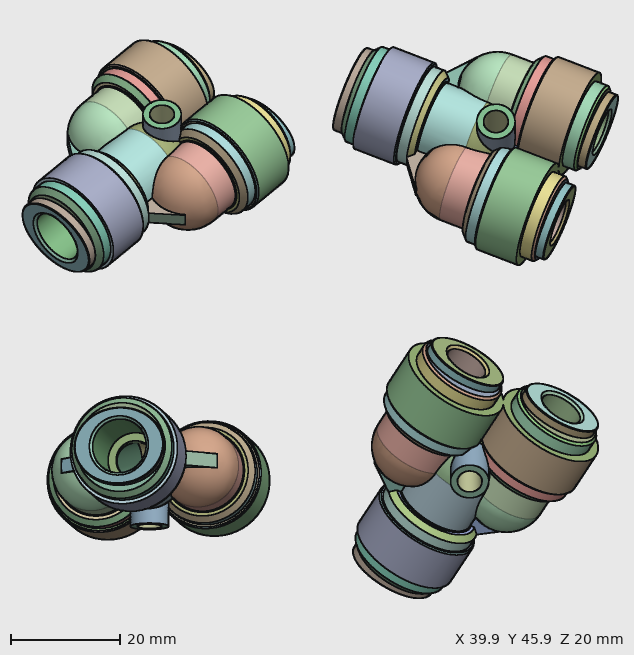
import cadquery as cq
import math

length = 45.9
branch_offset = 9.95
front_y = -length / 2
back_y = length / 2

cuff_d = 20.0
collar_d = 18.7
collar_end_d = 16.5
tube_d = 14.8
cuff_chamfer = 0.28
collar_chamfer = (collar_d - collar_end_d) / 2
cuff_length = 8.4
inner_collar_length = 3.08

inlet_lip_length = 1.75
inlet_collar_length = 3.05
inlet_lip_size = (16.65, 14.25)
inlet_bore_d = 10.0
inlet_bore_depth = 15.15

outlet_lip_length = 1.65
outlet_collar_length = 2.75
outlet_collar_d = 16.65
outlet_collar_chamfer = 0.45
outlet_lip_size = (15.15, 12.03)
outlet_bore_d = 8.0
outlet_bore_depth = 13.75

lip_chamfer = 0.15
mouth_chamfer = 0.5
dome_y = 2.1
channel_d = 7.0
channel_split_y = -5.5
boss_d = 7.0
boss_hole_d = 4.5
boss_y = 6.0
rib_thickness = 2.6
rib_outer_x = 14.6
rib_outer_y = -3.7
rib_back_y = 10.25
root_size = 0.2


def cylinder(diameter, start, end):
    """Round bar between two points."""
    axis = cq.Vector(*end) - cq.Vector(*start)
    return cq.Workplane(cq.Solid.makeCylinder(diameter / 2, axis.Length, cq.Vector(*start), axis))


def sphere(diameter, x, y):
    return cq.Workplane("XY").sphere(diameter / 2).translate((x, y, 0))


def ring(diameter, x, y_low, y_high, low_chamfer=0, high_chamfer=0):
    """Ring along Y with optional chamfers on its two end edges."""
    body = cylinder(diameter, (x, y_low, 0), (x, y_high, 0))
    if low_chamfer:
        body = body.faces("<Y").chamfer(low_chamfer)
    if high_chamfer:
        body = body.faces(">Y").chamfer(high_chamfer)
    return body


def lip(size, x, y_low, y_high, outer_face):
    """Oval release collar with a lightly broken outer edge."""
    oval = cq.Workplane("XZ", origin=(x, y_high, 0)).ellipse(size[0] / 2, size[1] / 2)
    return oval.extrude(y_high - y_low).faces(outer_face).chamfer(lip_chamfer)


def tube(x, y_end):
    """Tube with a hemispherical inner end."""
    return cylinder(tube_d, (x, dome_y, 0), (x, y_end, 0)).union(sphere(tube_d, x, dome_y))


def tube_root(x, collar_y, outward):
    """Conical transition from a collar down to its tube; outward is +1 or -1 along Y."""
    cone = cq.Solid.makeCone(
        tube_d / 2 + root_size, tube_d / 2, root_size,
        cq.Vector(x, collar_y, 0), cq.Vector(0, outward, 0),
    )
    return cq.Workplane(cone)


def inlet():
    collar_y = front_y + inlet_lip_length
    cuff_y = collar_y + inlet_collar_length
    cuff_end_y = cuff_y + cuff_length
    tube_y = cuff_end_y + inner_collar_length
    body = tube(0, cuff_y).union(tube_root(0, tube_y, 1))
    body = body.union(ring(collar_d, 0, collar_y, tube_y, collar_chamfer, collar_chamfer))
    body = body.union(ring(cuff_d, 0, cuff_y, cuff_end_y, high_chamfer=cuff_chamfer))
    return body.union(lip(inlet_lip_size, 0, front_y, collar_y, "<Y"))


def outlet(x):
    collar_y = back_y - outlet_lip_length
    cuff_y = collar_y - outlet_collar_length
    cuff_end_y = cuff_y - cuff_length
    tube_y = cuff_end_y - inner_collar_length
    body = tube(x, cuff_y).union(tube_root(x, tube_y, -1))
    body = body.union(ring(collar_d, x, tube_y, cuff_y, collar_chamfer))
    body = body.union(ring(cuff_d, x, cuff_end_y, cuff_y, cuff_chamfer))
    body = body.union(ring(outlet_collar_d, x, cuff_y, collar_y, high_chamfer=outlet_collar_chamfer))
    return body.union(lip(outlet_lip_size, x, collar_y, back_y, ">Y"))


def rib():
    """Flat web joining the inlet collar to the outlet tubes and the tubes to each other."""
    collar_edge_x = collar_d / 2
    collar_edge_y = (
        front_y + inlet_lip_length + inlet_collar_length + cuff_length + inner_collar_length - collar_chamfer
    )
    outline = [
        (-collar_edge_x, collar_edge_y),
        (collar_edge_x, collar_edge_y),
        (rib_outer_x, rib_outer_y),
        (branch_offset, dome_y),
        (branch_offset, rib_back_y),
        (-branch_offset, rib_back_y),
        (-branch_offset, dome_y),
        (-rib_outer_x, rib_outer_y),
    ]
    return cq.Workplane("XY").polyline(outline).close().extrude(rib_thickness / 2, both=True)


def socket_bore(diameter, x, mouth_y, depth, inward):
    """Tube socket with a conical mouth; inward is +1 or -1 along Y."""
    bore = cylinder(diameter, (x, mouth_y, 0), (x, mouth_y + inward * depth, 0))
    mouth = cq.Solid.makeCone(
        diameter / 2 + mouth_chamfer, diameter / 2, mouth_chamfer,
        cq.Vector(x, mouth_y, 0), cq.Vector(0, inward, 0),
    )
    return bore.union(cq.Workplane(mouth))


def channels():
    """Sockets and the forked flow passage, with slanted legs at 45 degrees."""
    slant_angle = math.radians(45)
    bend_y = channel_split_y + branch_offset / math.tan(slant_angle)
    split = (0, channel_split_y, 0)
    void = socket_bore(inlet_bore_d, 0, front_y, inlet_bore_depth, 1)
    void = void.union(cylinder(channel_d, (0, front_y, 0), split))
    void = void.union(sphere(channel_d, 0, channel_split_y))
    for x in (-branch_offset, branch_offset):
        bend = (x, bend_y, 0)
        void = void.union(cylinder(channel_d, split, bend))
        void = void.union(sphere(channel_d, x, bend_y))
        void = void.union(cylinder(channel_d, bend, (x, back_y, 0)))
        void = void.union(socket_bore(outlet_bore_d, x, back_y, outlet_bore_depth, -1))
    return void


half_height = cuff_d / 2
boss_bottom = (0, boss_y, -half_height)
boss_top = (0, boss_y, half_height)

body = inlet()
for side in (-1, 1):
    body = body.union(outlet(side * branch_offset))
body = body.union(rib())
body = body.union(cylinder(boss_d, boss_bottom, boss_top))

body = body.cut(channels())
result = body.cut(cylinder(boss_hole_d, boss_bottom, boss_top))